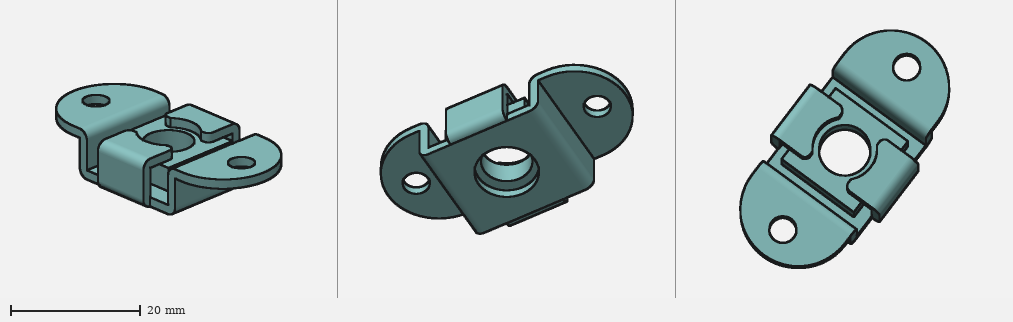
import cadquery as cq

length = 42.0
clip_span = 21.0
height = 8.2
sheet = 1.6
strip_width = 18.0
bend_radius = sheet

channel_width = 21.0
ear_hole_spacing = 32.0
ear_hole_diameter = 4.2

clip_width = 10.0
lip_edge = 3.7
lip_relief_radius = 5.0
lip_corner_radius = 1.0

nut_side = 14.0
nut_height = 4.0
bore_diameter = 8.0


def make_strip():
    """Hat-section strip with two rounded ears."""
    x_end = length / 2
    x_outer = channel_width / 2
    x_inner = x_outer - sheet
    profile = [
        (-x_end, height),
        (-x_inner, height),
        (-x_inner, sheet),
        (x_inner, sheet),
        (x_inner, height),
        (x_end, height),
        (x_end, height - sheet),
        (x_outer, height - sheet),
        (x_outer, 0),
        (-x_outer, 0),
        (-x_outer, height - sheet),
        (-x_end, height - sheet),
    ]
    strip = (
        cq.Workplane("XZ")
        .polyline(profile)
        .close()
        .extrude(strip_width / 2, both=True)
    )
    lower_bends = cq.selectors.BoxSelector(
        (-x_outer - sheet / 2, -strip_width, -sheet / 2),
        (x_outer + sheet / 2, strip_width, sheet / 2),
    )
    upper_bends = cq.selectors.BoxSelector(
        (-x_inner - sheet / 2, -strip_width, height - sheet / 2),
        (x_inner + sheet / 2, strip_width, height + sheet / 2),
    )
    for bends in (lower_bends, upper_bends):
        strip = strip.edges("|Y").edges(bends).fillet(bend_radius)

    plan = cq.Workplane("XY").slot2D(length, strip_width).extrude(height)
    return strip.intersect(plan)


def make_clips():
    """Closed band around the strip, opened at the top to leave two lips."""
    clips = (
        cq.Workplane("XY")
        .box(clip_width, clip_span, height, centered=(True, True, False))
        .edges("|X")
        .fillet(bend_radius)
    )
    cavity = cq.Workplane("XY").box(
        clip_width, clip_span - 2 * sheet, height - 2 * sheet, centered=(True, True, False)
    )
    clips = clips.cut(cavity.translate((0, 0, sheet)))

    lip_bottom = height - sheet
    opening = (
        cq.Workplane("XY", origin=(0, 0, lip_bottom))
        .rect(clip_width, 2 * lip_edge)
        .extrude(sheet)
    )
    relief = cq.Workplane("XY", origin=(0, 0, lip_bottom)).circle(lip_relief_radius).extrude(sheet)
    clips = clips.cut(opening.union(relief))

    for x in (-clip_width / 2, clip_width / 2):
        lip_corners = cq.selectors.BoxSelector(
            (x - sheet / 8, -lip_edge - sheet / 8, lip_bottom),
            (x + sheet / 8, lip_edge + sheet / 8, height),
        )
        clips = clips.edges("|Z").edges(lip_corners).fillet(lip_corner_radius)
    return clips


def make_bracket():
    bracket = make_strip().union(make_clips())
    ear_holes = (
        cq.Workplane("XY")
        .pushPoints([(-ear_hole_spacing / 2, 0), (ear_hole_spacing / 2, 0)])
        .circle(ear_hole_diameter / 2)
        .extrude(height)
    )
    base_hole = cq.Workplane("XY").circle(lip_relief_radius).extrude(sheet)
    return bracket.cut(ear_holes).cut(base_hole)


def make_nut():
    """Square nut whose top face rests against the underside of the lips."""
    nut_bottom = height - sheet - nut_height
    return (
        cq.Workplane("XY", origin=(0, 0, nut_bottom))
        .rect(nut_side, nut_side)
        .circle(bore_diameter / 2)
        .extrude(nut_height)
    )


bracket = make_bracket()
nut = make_nut()

result = cq.Compound.makeCompound([bracket.val(), nut.val()])